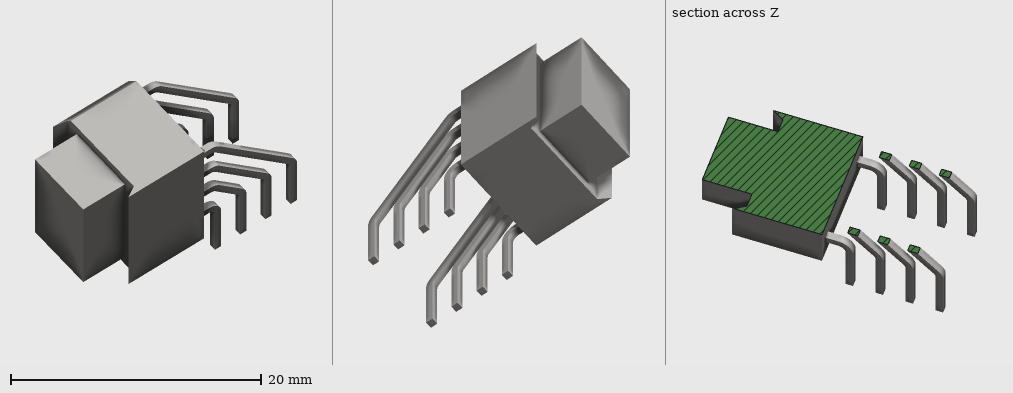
import cadquery as cq
import math

body_width = 9.91
body_depth = 7.62
body_height = 11.39
edge_chamfer = 1.0

recess_depth = 1.016
recess_flare = 0.62

block_width = 6.35
block_height = 9.525
block_projection = 3.175
block_length = block_projection + recess_depth

pin_size = 0.635
pin_pitch = 2.54
pin_rows = 4
column_spacing = 3 * pin_pitch
pin_reach = 9.965
pin_drop = 3.72
lowest_pin_height = (body_height - (pin_rows - 1) * pin_pitch) / 2
nearest_leg_offset = pin_reach - pin_size / 2 - (pin_rows - 1) * pin_pitch
bend_radius = 0.97
sloped_pin_stub = 1.3

half_bend = math.radians(45)
bend_long = bend_radius * math.sin(half_bend)
bend_short = bend_radius * (1 - math.cos(half_bend))


def make_housing():
    """Block with one chamfered top edge and the flared recess in front."""
    housing = (
        cq.Workplane("XY")
        .box(body_width, body_depth, body_height, centered=(True, False, False))
        .translate((0, -body_depth, 0))
        .edges("|Y and >Z and <X")
        .chamfer(edge_chamfer)
    )
    half_mouth = body_width / 2
    half_floor = half_mouth - recess_flare
    floor_y = recess_depth - body_depth
    recess = (
        cq.Workplane("XY")
        .moveTo(-half_mouth, -body_depth)
        .lineTo(half_mouth, -body_depth)
        .lineTo(half_floor, floor_y)
        .lineTo(-half_floor, floor_y)
        .close()
        .extrude(body_height)
    )
    return housing.cut(recess)


def make_block():
    """Front block, centred on the housing."""
    front_y = -body_depth - block_projection
    center = (0, front_y + block_length / 2, body_height / 2)
    return cq.Workplane("XY").box(block_width, block_length, block_height).translate(center)


def square_bend_path(leg_y, pin_z):
    """Centre line with a single 90 degree bend."""
    arc_middle = (leg_y - bend_short, pin_z - bend_short)
    return (
        cq.Workplane("YZ")
        .moveTo(0, pin_z)
        .lineTo(leg_y - bend_radius, pin_z)
        .threePointArc(arc_middle, (leg_y, pin_z - bend_radius))
        .lineTo(leg_y, -pin_drop)
    )


def sloped_path(leg_y, pin_z):
    """Centre line with two 45 degree bends joined by a 45 degree slope."""
    slope_rise = leg_y - sloped_pin_stub
    leg_top = pin_z - slope_rise
    slope_start = (sloped_pin_stub + bend_long, pin_z - bend_short)
    slope_end = (leg_y - bend_short, leg_top + bend_long)
    return (
        cq.Workplane("YZ")
        .moveTo(0, pin_z)
        .lineTo(sloped_pin_stub, pin_z)
        .tangentArcPoint(slope_start, relative=False)
        .lineTo(*slope_end)
        .tangentArcPoint((leg_y, leg_top), relative=False)
        .lineTo(leg_y, -pin_drop)
    )


def make_pin(row, column_x):
    """Square pin from the rear face; row 0 is the lowest and nearest."""
    pin_z = lowest_pin_height + row * pin_pitch
    leg_y = nearest_leg_offset + row * pin_pitch
    if row == 0:
        path = square_bend_path(leg_y, pin_z)
    else:
        path = sloped_path(leg_y, pin_z)
    section = cq.Workplane("XZ").center(0, pin_z).rect(pin_size, pin_size)
    return section.sweep(path).translate((column_x, 0, 0))


result = make_housing().union(make_block())
for column_x in (-column_spacing / 2, column_spacing / 2):
    for row in range(pin_rows):
        result = result.union(make_pin(row, column_x))